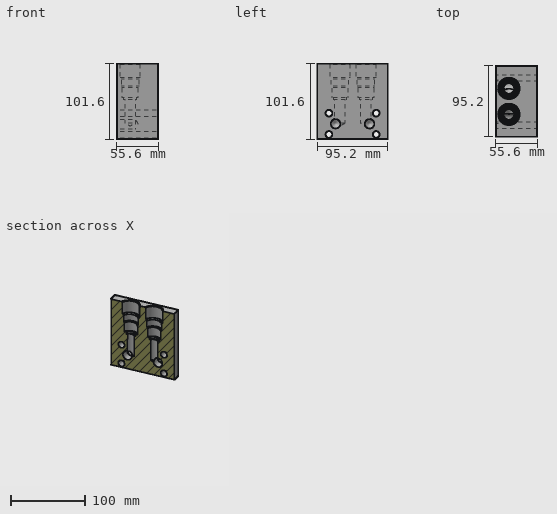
import cadquery as cq
import math

INCH = 25.4

LENGTH_X = 2.188 * INCH
LENGTH_Y = 3.75 * INCH
LENGTH_Z = 4.0 * INCH

CAVITY_X = 11 / 16 * INCH
CAVITY_SPACING = 1.375 * INCH
MOUTH_RADIUS = 14.5
CHAMFER_RADIUS = 13.95
CHAMFER_DEPTH = 0.5
THREAD_RADIUS = 13.5
THREAD_START_DEPTH = 0.95
THREAD_END_DEPTH = 18.3
LEAD_IN_RADIUS = 13.1
SEAT_RADIUS = 11.9
SEAT_START_DEPTH = 20.5
SEAT_END_DEPTH = 30.0
SEAT_EDGE_RADIUS = 11.4
SEAT_EDGE_DEPTH = 30.5
NOSE_RADIUS = 10.8
NOSE_START_DEPTH = 31.5
NOSE_END_DEPTH = 45.0
STEP_RADIUS = 8.75
STEP_DEPTH = 48.0
DRILL_RADIUS = 7.1
DRILL_END_ABOVE_PORT_AXIS = 1.4
DRILL_POINT_ANGLE = 118

PATTERN_Z = 13 / 16 * INCH
PORT_SPACING = 1.8 * INCH
PORT_RADIUS = 0.25 * INCH
BOLT_SPACING_Y = 2.5 * INCH
BOLT_SPACING_Z = 1.125 * INCH
BOLT_RADIUS = 11 / 64 * INCH
PORT_DEPTH = CAVITY_X + DRILL_RADIUS
DRILL_DEPTH = LENGTH_Z - PATTERN_Z - DRILL_END_ABOVE_PORT_AXIS


def point_length(radius):
    """Height of the conical point left by a drill of the given radius."""
    return radius / math.tan(math.radians(DRILL_POINT_ANGLE / 2))


def cavity(y):
    """Stepped cartridge cavity, turned about a vertical axis."""
    profile = [
        (0, 0),
        (MOUTH_RADIUS, 0),
        (CHAMFER_RADIUS, -CHAMFER_DEPTH),
        (THREAD_RADIUS, -THREAD_START_DEPTH),
        (THREAD_RADIUS, -THREAD_END_DEPTH),
        (LEAD_IN_RADIUS, -THREAD_END_DEPTH),
        (SEAT_RADIUS, -SEAT_START_DEPTH),
        (SEAT_RADIUS, -SEAT_END_DEPTH),
        (SEAT_EDGE_RADIUS, -SEAT_EDGE_DEPTH),
        (NOSE_RADIUS, -NOSE_START_DEPTH),
        (NOSE_RADIUS, -NOSE_END_DEPTH),
        (STEP_RADIUS, -NOSE_END_DEPTH),
        (STEP_RADIUS, -STEP_DEPTH),
        (DRILL_RADIUS, -STEP_DEPTH),
        (DRILL_RADIUS, -DRILL_DEPTH),
        (0, -DRILL_DEPTH - point_length(DRILL_RADIUS)),
    ]
    cutter = cq.Workplane("XZ").polyline(profile).close().revolve(360, (0, 0), (0, 1))
    return cutter.translate((CAVITY_X, y, LENGTH_Z))


def port(y):
    """Drilled port, entering the mounting face and ending in a conical point."""
    profile = [
        (0, 0),
        (0, PORT_RADIUS),
        (PORT_DEPTH, PORT_RADIUS),
        (PORT_DEPTH + point_length(PORT_RADIUS), 0),
    ]
    cutter = cq.Workplane("XY").polyline(profile).close().revolve(360, (0, 0), (1, 0))
    return cutter.translate((0, y, PATTERN_Z))


def bolt_holes():
    """Four holes through the whole block along X."""
    return (
        cq.Workplane("YZ")
        .center(0, PATTERN_Z)
        .rect(BOLT_SPACING_Y, BOLT_SPACING_Z, forConstruction=True)
        .vertices()
        .circle(BOLT_RADIUS)
        .extrude(LENGTH_X)
    )


result = cq.Workplane("XY").box(LENGTH_X, LENGTH_Y, LENGTH_Z, centered=(False, True, False))
for side in (-1, 1):
    result = result.cut(cavity(side * CAVITY_SPACING / 2))
    result = result.cut(port(side * PORT_SPACING / 2))
result = result.cut(bolt_holes())